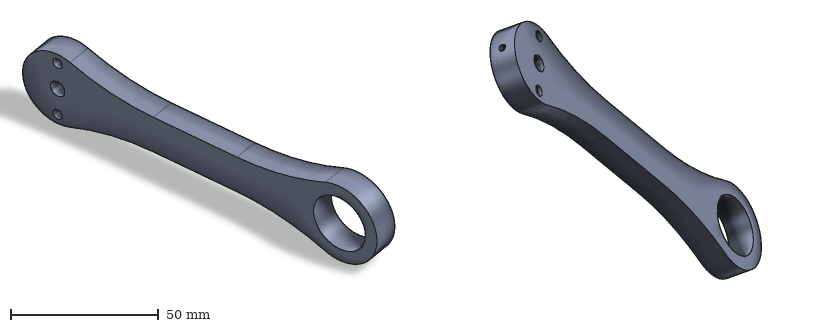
import cadquery as cq
import math

thickness = 10.0
small_end_radius = 15.0
large_end_radius = 16.0
overall_length = 151.0
centre_distance = overall_length - small_end_radius - large_end_radius
neck_half_width = 7.47
blend_radius = 100.0

bore_diameter = 22.0
pivot_diameter = 6.0
pin_diameter = 4.0
pin_offset = 11.0
end_hole_diameter = 2.5


def blend_points(end_radius):
    """Return the (distance from end centre, height) of three points on a blend arc.

    The arc is tangent to the end circle and to the straight neck: the points
    are the end tangency, the arc middle and the neck tangency.
    """
    centre_height = neck_half_width + blend_radius
    reach = math.sqrt((blend_radius + end_radius) ** 2 - centre_height**2)
    full_angle = math.atan2(reach, centre_height)

    def on_blend(angle):
        return (
            reach - blend_radius * math.sin(angle),
            centre_height - blend_radius * math.cos(angle),
        )

    return on_blend(full_angle), on_blend(full_angle / 2), on_blend(0)


def from_large_end(point):
    return (centre_distance - point[0], point[1])


def mirrored(point):
    return (point[0], -point[1])


def make_body():
    small_end, small_mid, small_neck = blend_points(small_end_radius)
    large_end, large_mid, large_neck = map(from_large_end, blend_points(large_end_radius))
    large_tip = (centre_distance + large_end_radius, 0)
    small_tip = (-small_end_radius, 0)
    return (
        cq.Workplane("XZ", origin=(0, thickness / 2, 0))
        .moveTo(*small_end)
        .threePointArc(small_mid, small_neck)
        .lineTo(*large_neck)
        .threePointArc(large_mid, large_end)
        .threePointArc(large_tip, mirrored(large_end))
        .threePointArc(mirrored(large_mid), mirrored(large_neck))
        .lineTo(*mirrored(small_neck))
        .threePointArc(mirrored(small_mid), mirrored(small_end))
        .threePointArc(small_tip, small_end)
        .close()
        .extrude(thickness)
    )


def cross_hole(x, z, diameter):
    """Cylinder along Y through the full thickness."""
    return (
        cq.Workplane("XZ", origin=(0, thickness / 2, 0))
        .center(x, z)
        .circle(diameter / 2)
        .extrude(thickness)
    )


def end_hole():
    """Cylinder along X from the small end's tip to the pivot hole."""
    return (
        cq.Workplane("YZ")
        .circle(end_hole_diameter / 2)
        .extrude(-small_end_radius)
    )


result = make_body()
result = result.cut(cross_hole(centre_distance, 0, bore_diameter))
result = result.cut(cross_hole(0, 0, pivot_diameter))
for pin_height in (-pin_offset, pin_offset):
    result = result.cut(cross_hole(0, pin_height, pin_diameter))
result = result.cut(end_hole())